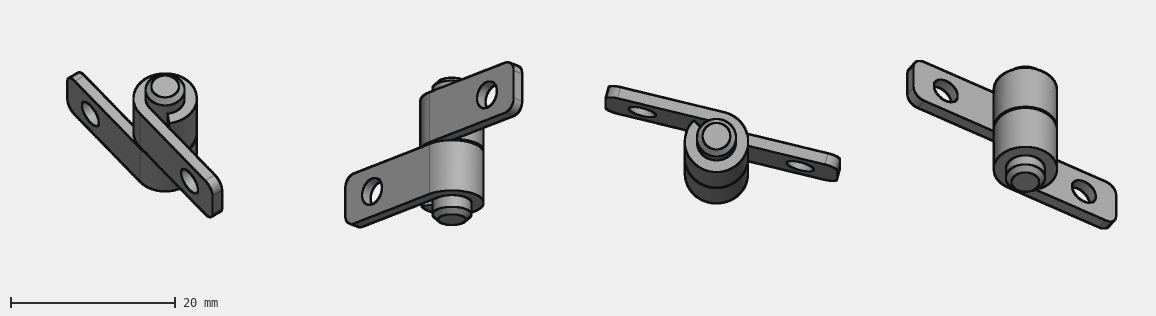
import cadquery as cq
import math

leaf_reach = 14.5
leaf_height = 6.6
leaf_thickness = 1.48
leaf_gap = 0.2
knuckle_radius = 3.85
curl_end_angle = 30.0
corner_radius = 1.5
screw_hole_diameter = 3.4
screw_hole_distance = 9.9
pin_length = 18.0
pin_rise = 0.05
pin_chamfer = 0.7

pin_radius = knuckle_radius - leaf_thickness
half_gap = leaf_gap / 2


def polar_point(radius, degrees):
    """Point on a circle around the pin axis."""
    angle = math.radians(degrees)
    return (radius * math.cos(angle), radius * math.sin(angle))


def make_upper_leaf():
    """Flat strip along +X whose inner end is rolled clockwise, from below, around the pin."""
    curl_end_outer = polar_point(knuckle_radius, -curl_end_angle)
    curl_end_inner = polar_point(pin_radius, -curl_end_angle)
    strip = (
        cq.Workplane("XY")
        .workplane(offset=half_gap)
        .moveTo(leaf_reach, -knuckle_radius)
        .lineTo(0, -knuckle_radius)
        .threePointArc((0, knuckle_radius), curl_end_outer)
        .lineTo(*curl_end_inner)
        .threePointArc((0, pin_radius), (0, -pin_radius))
        .lineTo(leaf_reach, -pin_radius)
        .close()
        .extrude(leaf_height)
    )
    rounded = strip.faces(">X").edges("|Y").fillet(corner_radius)
    screw_hole = (
        cq.Workplane("XZ", origin=(screw_hole_distance, 0, half_gap + leaf_height / 2))
        .circle(screw_hole_diameter / 2)
        .extrude(knuckle_radius)
    )
    return rounded.cut(screw_hole)


def make_lower_leaf():
    """The upper leaf turned half a revolution about the Y axis."""
    return make_upper_leaf().rotate((0, 0, 0), (0, 1, 0), 180)


def make_pin():
    """Round pin through both knuckles, chamfered at both ends."""
    return (
        cq.Workplane("XY")
        .workplane(offset=pin_rise - pin_length / 2)
        .circle(pin_radius)
        .extrude(pin_length)
        .faces("<Z or >Z")
        .edges()
        .chamfer(pin_chamfer)
    )


upper_leaf = make_upper_leaf()
lower_leaf = make_lower_leaf()
pin = make_pin()

result = cq.Compound.makeCompound([upper_leaf.val(), lower_leaf.val(), pin.val()])